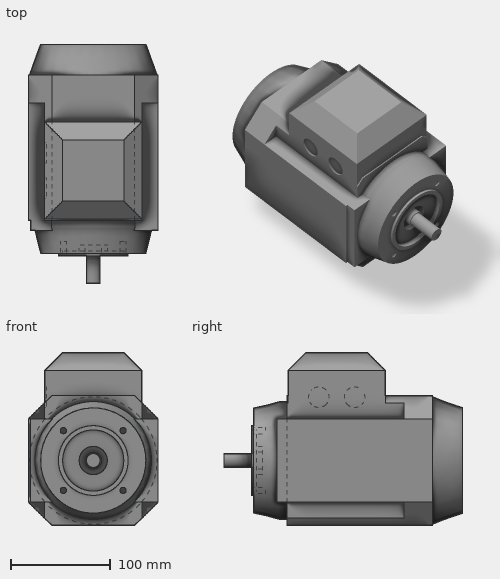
import cadquery as cq


HOUSING_WIDTH = 130.0
HOUSING_LENGTH = 145.9
FLAT_WIDTH = 82.9
SIDE_HEIGHT = 83.5
HALF_WIDTH = HOUSING_WIDTH / 2

SIDE_BLOCK_REACH = 10.0
LEFT_BLOCK_STEP = 2.2

BOX_WIDTH = 97.5
BOX_FRONT = 1.2
BOX_TOP = 108.3
LID_BEVEL = 18.0
BOX_CENTER_Y = BOX_FRONT + BOX_WIDTH / 2

NOTCH_LENGTH = 117.5

ENTRY_DIAMETER = 20.5
ENTRY_SPACING = 36
ENTRY_Z = 63.5
ENTRY_DEPTH = 2.0

REAR_COVER_LENGTH = 30.5
REAR_COVER_BASE_RADIUS = 64.0
REAR_COVER_END_RADIUS = 53.0

SHIELD_RIM_LENGTH = 7.2
SHIELD_LENGTH = 33.3
SHIELD_RIM_RADIUS = 59.2
SHIELD_FACE_RADIUS = 52.7

SPIGOT_RADIUS = 35.0
SPIGOT_HEIGHT = 2.5
RECESS_RADIUS = 30.7
RECESS_DEPTH = 5.0
BORE_RADIUS = 14.1
BORE_DEPTH = 6.0
BOLT_HOLE_SPACING = 59.9
BOLT_HOLE_DIAMETER = 6.2
BOLT_HOLE_DEPTH = 12

SHAFT_RADIUS = 7.0
SHAFT_LENGTH = 30.0
COLLAR_RADIUS = 8.5

SHIELD_FACE_Y = -SHIELD_LENGTH
SPIGOT_FACE_Y = SHIELD_FACE_Y - SPIGOT_HEIGHT
RECESS_FLOOR_Y = SPIGOT_FACE_Y + RECESS_DEPTH
BORE_FLOOR_Y = RECESS_FLOOR_Y + BORE_DEPTH
SHAFT_END_Y = SHIELD_FACE_Y - SHAFT_LENGTH


def block(x_range, y_range, z_range):
    """Box spanning the given (low, high) ranges."""
    lows, highs = zip(x_range, y_range, z_range)
    sizes = [high - low for low, high in zip(lows, highs)]
    return cq.Workplane("XY").box(*sizes, centered=False).translate(lows)


def revolve_about_shaft(profile):
    """Solid of revolution about the Y axis from (radius, y) points."""
    return cq.Workplane("XY").polyline(profile).close().revolve(360, (0, 0), (0, 1))


def make_housing():
    flat = FLAT_WIDTH / 2
    side = SIDE_HEIGHT / 2
    bevelled_outline = [
        (flat, HALF_WIDTH),
        (HALF_WIDTH, side),
        (HALF_WIDTH, -side),
        (flat, -HALF_WIDTH),
        (-flat, -HALF_WIDTH),
        (-HALF_WIDTH, -side),
        (-HALF_WIDTH, side),
        (-flat, HALF_WIDTH),
    ]
    housing = cq.Workplane("XZ").polyline(bevelled_outline).close().extrude(-HOUSING_LENGTH)

    notch = block((BOX_WIDTH / 2, HALF_WIDTH), (0, NOTCH_LENGTH), (side, HALF_WIDTH))
    right_notches = notch.union(notch.mirror("XY"))
    housing = housing.cut(right_notches).cut(right_notches.mirror("YZ"))

    side_blocks = block(
        (-HALF_WIDTH + LEFT_BLOCK_STEP, HALF_WIDTH),
        (-SIDE_BLOCK_REACH, 0),
        (-side, side),
    )
    return housing.union(side_blocks)


def make_terminal_box():
    """Box with a bevelled lid, and the shallow cutters for its cable entries."""
    box = (
        cq.Workplane("XY")
        .center(0, BOX_CENTER_Y)
        .rect(BOX_WIDTH, BOX_WIDTH)
        .extrude(BOX_TOP)
        .faces(">Z")
        .chamfer(LID_BEVEL)
    )
    entries = (
        cq.Workplane("YZ", origin=(-BOX_WIDTH / 2, BOX_CENTER_Y, ENTRY_Z))
        .rarray(ENTRY_SPACING, 2.5, 2, 1)
        .circle(ENTRY_DIAMETER / 2)
        .extrude(ENTRY_DEPTH)
    )
    return box, entries


def make_rear_cover():
    rear_end = HOUSING_LENGTH + REAR_COVER_LENGTH
    return revolve_about_shaft([
        (0, HOUSING_LENGTH),
        (REAR_COVER_BASE_RADIUS, HOUSING_LENGTH),
        (REAR_COVER_END_RADIUS, rear_end),
        (0, rear_end),
    ])


def make_front_shield_and_shaft():
    """Shield, spigot, stepped recess, collar and shaft as one turned profile."""
    turned = revolve_about_shaft([
        (0, 0),
        (SHIELD_RIM_RADIUS, 0),
        (SHIELD_RIM_RADIUS, -SHIELD_RIM_LENGTH),
        (SHIELD_FACE_RADIUS, SHIELD_FACE_Y),
        (SPIGOT_RADIUS, SHIELD_FACE_Y),
        (SPIGOT_RADIUS, SPIGOT_FACE_Y),
        (RECESS_RADIUS, SPIGOT_FACE_Y),
        (RECESS_RADIUS, RECESS_FLOOR_Y),
        (BORE_RADIUS, RECESS_FLOOR_Y),
        (BORE_RADIUS, BORE_FLOOR_Y),
        (COLLAR_RADIUS, BORE_FLOOR_Y),
        (COLLAR_RADIUS, SHIELD_FACE_Y),
        (SHAFT_RADIUS, SHIELD_FACE_Y),
        (SHAFT_RADIUS, SHAFT_END_Y),
        (0, SHAFT_END_Y),
    ])
    bolt_holes = (
        cq.Workplane("XZ", origin=(0, SHIELD_FACE_Y, 0))
        .rarray(BOLT_HOLE_SPACING, BOLT_HOLE_SPACING, 2, 2)
        .circle(BOLT_HOLE_DIAMETER / 2)
        .extrude(-BOLT_HOLE_DEPTH)
    )
    return turned.cut(bolt_holes)


terminal_box, cable_entries = make_terminal_box()
result = (
    make_housing()
    .union(terminal_box)
    .cut(cable_entries)
    .union(make_rear_cover())
    .union(make_front_shield_and_shaft())
)